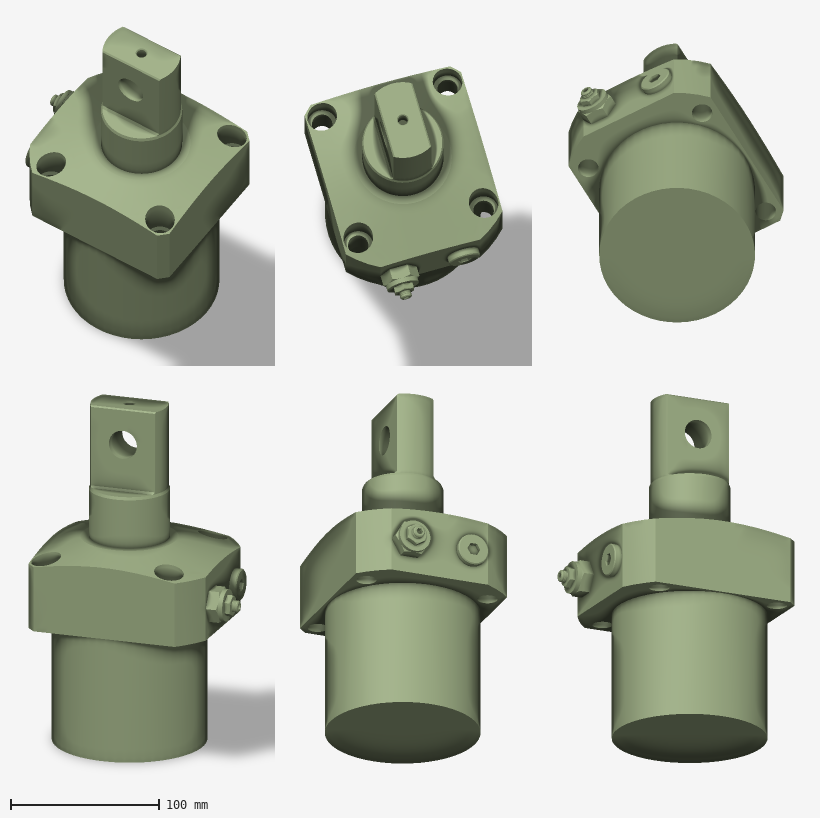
import cadquery as cq
import math

TOTAL_HEIGHT = 238.0
PORT_FACE_X = -67.0
FLANGE_HALF_WIDTH = 55.0
OVERLAP = 2.4

CYLINDER_DIA = 105.2
FLANGE_BOTTOM_Z = 87.5
HOUSING_TOP_Z = 144.0
TOP_FLAT_RADIUS = 33.0
TOP_SLOPE = 15.0
CORNER_RADIUS = 75.7
CORNER_CHAMFER = 6.0
BOLT_OFFSET = 44.0
BOLT_DIA = 13.8
COUNTERBORE_DIA = 20.0
COUNTERBORE_FLOOR_Z = 116.6

ROD_DIA = 55.0
ROD_BOTTOM_Z = FLANGE_BOTTOM_Z
SHOULDER_Z = 180.0
SHOULDER_CHAMFER_HEIGHT = 2.0
TONGUE_DIA = 53.0
TONGUE_THICKNESS = 26.7
TONGUE_TOP_CHAMFER = 1.0
TONGUE_FOOT = 1.5
EYE_DIA = 20.0
EYE_Z = TOTAL_HEIGHT - 25.5
TOP_HOLE_DIA = 6.7
TOP_HOLE_COUNTERSINK_DIA = 8.0
TOP_HOLE_DEPTH = 12.0

PORT_Z = 110.0
VALVE_Y = 22.4
VALVE_FLATS = 22.0
VALVE_LENGTH = 8.0
WASHER_DIA = 22.1
WASHER_THICKNESS = 3.0
NUT_FLATS = 13.0
NUT_THICKNESS = 4.0
SCREW_DIA = 8.0
SCREW_STICKOUT = 4.3
SCREW_CHAMFER = 0.7
THREAD_PITCH = 1.0
THREAD_DEPTH = 0.2
SCREW_SOCKET_FLATS = 4.0
NUT_START = VALVE_LENGTH + WASHER_THICKNESS
NUT_END = NUT_START + NUT_THICKNESS
SCREW_LENGTH = NUT_END + SCREW_STICKOUT

HEX_CHAMFER_ANGLE = 30.0
CORNERS_ALONG_Y = 0.0
CORNERS_ALONG_Z = 90.0

PLUG_Y = -22.8
PLUG_DIA = 22.0
PLUG_LENGTH = 5.0
PLUG_CHAMFER = 0.7
PLUG_SOCKET_FLATS = 8.0
SOCKET_DEPTH = 3.5


def hexagon_corners(flats):
    """Diameter across the corners of a hexagon, from its width across flats."""
    return flats / math.cos(math.pi / 6)


def port_plane(y, distance):
    """Plane at a port, facing outwards (-X), at a distance from the port face."""
    return cq.Workplane(cq.Plane(
        origin=(PORT_FACE_X - distance, y, PORT_Z), xDir=(0, -1, 0), normal=(-1, 0, 0)))


def hexagon_prism(y, distance, flats, length, corner_angle=CORNERS_ALONG_Y):
    """Outward hexagonal prism that starts at a distance from the port face."""
    return (port_plane(y, distance).transformed(rotate=(0, 0, corner_angle))
            .polygon(6, hexagon_corners(flats)).extrude(length))


def chamfered_hexagon(y, distance, flats, length, corner_angle):
    """Hexagonal prism whose outer corners are turned off by a cone."""
    flat_radius = flats / 2
    corner_radius = hexagon_corners(flats) / 2
    drop = (corner_radius - flat_radius) * math.tan(math.radians(HEX_CHAMFER_ANGLE))
    envelope = (port_plane(y, distance).circle(corner_radius).extrude(length)
                .faces("<X").chamfer(drop, corner_radius - flat_radius))
    return hexagon_prism(y, distance, flats, length, corner_angle).intersect(envelope)


def flange_outline():
    """Plan outline with arcs about the rod axis on the port side."""
    half = FLANGE_HALF_WIDTH
    arc_end_x = -math.sqrt(CORNER_RADIUS**2 - half**2)
    arc_end_y = math.sqrt(CORNER_RADIUS**2 - PORT_FACE_X**2)
    middle_angle = (math.atan2(half, -arc_end_x) + math.atan2(arc_end_y, -PORT_FACE_X)) / 2
    middle_x = -CORNER_RADIUS * math.cos(middle_angle)
    middle_y = CORNER_RADIUS * math.sin(middle_angle)
    return (cq.Workplane("XY", origin=(0, 0, FLANGE_BOTTOM_Z))
            .moveTo(PORT_FACE_X, -arc_end_y)
            .threePointArc((middle_x, -middle_y), (arc_end_x, -half))
            .lineTo(half - CORNER_CHAMFER, -half)
            .lineTo(half, CORNER_CHAMFER - half)
            .lineTo(half, half - CORNER_CHAMFER)
            .lineTo(half - CORNER_CHAMFER, half)
            .lineTo(arc_end_x, half)
            .threePointArc((middle_x, middle_y), (PORT_FACE_X, arc_end_y))
            .close())


def conical_top():
    """Turned envelope that gives the flange its flat-topped cone."""
    rim_radius = CORNER_RADIUS + OVERLAP
    rim_z = HOUSING_TOP_Z - (rim_radius - TOP_FLAT_RADIUS) * math.tan(math.radians(TOP_SLOPE))
    return (cq.Workplane("XZ")
            .moveTo(0, FLANGE_BOTTOM_Z)
            .lineTo(rim_radius, FLANGE_BOTTOM_Z)
            .lineTo(rim_radius, rim_z)
            .lineTo(TOP_FLAT_RADIUS, HOUSING_TOP_Z)
            .lineTo(0, HOUSING_TOP_Z)
            .close()
            .revolve(360, (0, 0, 0), (0, 1, 0)))


def bolt_tool(diameter, floor_z):
    """Cutters at the four bolt positions, from floor_z up through the top."""
    pitch = 2 * BOLT_OFFSET
    return (cq.Workplane("XY", origin=(0, 0, floor_z))
            .rarray(pitch, pitch, 2, 2).circle(diameter / 2)
            .extrude(HOUSING_TOP_Z + OVERLAP - floor_z))


def make_housing():
    """Cylinder with a square flange, bolt holes and the bore for the rod."""
    flange = flange_outline().extrude(HOUSING_TOP_Z - FLANGE_BOTTOM_Z).intersect(conical_top())
    cylinder = cq.Workplane("XY").circle(CYLINDER_DIA / 2).extrude(FLANGE_BOTTOM_Z)
    bore = (cq.Workplane("XY", origin=(0, 0, ROD_BOTTOM_Z)).circle(ROD_DIA / 2)
            .extrude(HOUSING_TOP_Z + OVERLAP - ROD_BOTTOM_Z))
    flange = flange.cut(bolt_tool(COUNTERBORE_DIA, COUNTERBORE_FLOOR_Z))
    flange = flange.cut(bolt_tool(BOLT_DIA, FLANGE_BOTTOM_Z - OVERLAP))
    return flange.union(cylinder).cut(bore)


def make_rod():
    """Round rod ending in a flat-sided tongue with a cross hole."""
    shank = (cq.Workplane("XY", origin=(0, 0, ROD_BOTTOM_Z)).circle(ROD_DIA / 2)
             .extrude(SHOULDER_Z - ROD_BOTTOM_Z)
             .faces(">Z").chamfer(SHOULDER_CHAMFER_HEIGHT, (ROD_DIA - TONGUE_DIA) / 2))

    half = TONGUE_THICKNESS / 2
    section = (cq.Workplane("YZ")
               .moveTo(-half - TONGUE_FOOT, SHOULDER_Z)
               .lineTo(-half, SHOULDER_Z + TONGUE_FOOT)
               .lineTo(-half, TOTAL_HEIGHT - TONGUE_TOP_CHAMFER)
               .lineTo(TONGUE_TOP_CHAMFER - half, TOTAL_HEIGHT)
               .lineTo(half - TONGUE_TOP_CHAMFER, TOTAL_HEIGHT)
               .lineTo(half, TOTAL_HEIGHT - TONGUE_TOP_CHAMFER)
               .lineTo(half, SHOULDER_Z + TONGUE_FOOT)
               .lineTo(half + TONGUE_FOOT, SHOULDER_Z)
               .close()
               .extrude(TONGUE_DIA / 2, both=True))
    round_bar = (cq.Workplane("XY", origin=(0, 0, SHOULDER_Z)).circle(TONGUE_DIA / 2)
                 .extrude(TOTAL_HEIGHT - SHOULDER_Z))
    tongue = section.intersect(round_bar)

    eye = (cq.Workplane("XZ", origin=(0, 0, EYE_Z)).circle(EYE_DIA / 2)
           .extrude(TONGUE_THICKNESS, both=True))
    top_hole = (cq.Workplane("XY", origin=(0, 0, TOTAL_HEIGHT - TOP_HOLE_DEPTH))
                .circle(TOP_HOLE_DIA / 2).extrude(TOP_HOLE_DEPTH + OVERLAP))
    sink_depth = (TOP_HOLE_COUNTERSINK_DIA - TOP_HOLE_DIA) / 2
    countersink = cq.Workplane(cq.Solid.makeCone(
        TOP_HOLE_DIA / 2, TOP_HOLE_COUNTERSINK_DIA / 2, sink_depth,
        cq.Vector(0, 0, TOTAL_HEIGHT - sink_depth)))
    return shank.union(tongue).cut(eye).cut(top_hole).cut(countersink)


def thread_groove(distance):
    """V-shaped ring cutter around the set screw, one pitch wide, starting at a distance."""
    outer = SCREW_DIA / 2
    root = outer - THREAD_DEPTH
    half_pitch = THREAD_PITCH / 2
    tube = port_plane(VALVE_Y, distance).circle(outer).extrude(THREAD_PITCH)
    for start, start_radius, end_radius in ((0, outer, root), (half_pitch, root, outer)):
        core = cq.Solid.makeCone(
            start_radius, end_radius, half_pitch,
            cq.Vector(PORT_FACE_X - distance - start, VALVE_Y, PORT_Z), cq.Vector(-1, 0, 0))
        tube = tube.cut(cq.Workplane(core))
    return tube


def make_set_screw():
    """Set screw through the whole valve stack, with ring grooves for the exposed thread."""
    screw = (port_plane(VALVE_Y, 0).circle(SCREW_DIA / 2).extrude(SCREW_LENGTH)
             .faces("<X").chamfer(SCREW_CHAMFER))
    socket = hexagon_prism(VALVE_Y, SCREW_LENGTH - SOCKET_DEPTH, SCREW_SOCKET_FLATS, SOCKET_DEPTH)
    groove_count = int((SCREW_STICKOUT - SCREW_CHAMFER) / THREAD_PITCH)
    for index in range(groove_count):
        screw = screw.cut(thread_groove(NUT_END + index * THREAD_PITCH))
    return screw.cut(socket)


def screw_bore():
    """Cutter for the set screw's passage through the valve stack."""
    return port_plane(VALVE_Y, 0).circle(SCREW_DIA / 2).extrude(NUT_END)


def make_valve_body():
    """Hexagonal valve body against the port face, two corners along Y."""
    body = chamfered_hexagon(VALVE_Y, 0, VALVE_FLATS, VALVE_LENGTH, CORNERS_ALONG_Y)
    return body.cut(screw_bore())


def make_washer():
    """Round washer between the valve body and the lock nut."""
    washer = port_plane(VALVE_Y, VALVE_LENGTH).circle(WASHER_DIA / 2).extrude(WASHER_THICKNESS)
    return washer.cut(screw_bore())


def make_lock_nut():
    """Thin lock nut on the set screw, two corners along Z."""
    nut = chamfered_hexagon(VALVE_Y, NUT_START, NUT_FLATS, NUT_THICKNESS, CORNERS_ALONG_Z)
    return nut.cut(screw_bore())


def make_plug():
    """Round closing plug with a hexagon socket."""
    head = (port_plane(PLUG_Y, 0).circle(PLUG_DIA / 2).extrude(PLUG_LENGTH)
            .faces("<X").chamfer(PLUG_CHAMFER))
    socket = hexagon_prism(PLUG_Y, PLUG_LENGTH - SOCKET_DEPTH, PLUG_SOCKET_FLATS, SOCKET_DEPTH)
    return head.cut(socket)


housing = make_housing()
rod = make_rod()
valve_body = make_valve_body()
washer = make_washer()
lock_nut = make_lock_nut()
set_screw = make_set_screw()
plug = make_plug()

result = cq.Compound.makeCompound([
    housing.val(),
    rod.val(),
    valve_body.val(),
    washer.val(),
    lock_nut.val(),
    set_screw.val(),
    plug.val(),
])